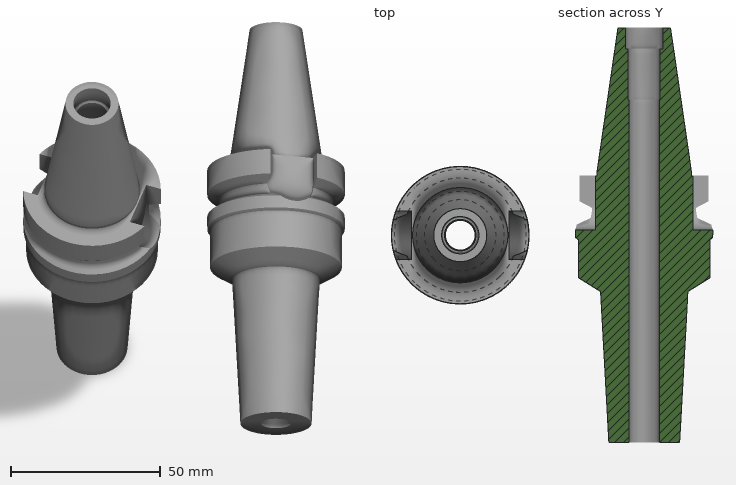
import cadquery as cq

length = 138.4
flange_radius = 23.0

taper_length = 48.5
gauge_radius = 15.9
taper_ratio = 7 / 24
taper_tip_radius = gauge_radius - taper_length * taper_ratio / 2
gauge_z = length - taper_length

flange_gap = 1.0
upper_rim_height = 8.6
groove_radius = 19.1
groove_floor_height = 3.3
groove_flank_height = 2.2
lower_rim_height = 4.3
rim_relief_height = 0.7
flange_top_z = gauge_z - flange_gap
upper_rim_bottom_z = flange_top_z - upper_rim_height
groove_top_z = upper_rim_bottom_z - groove_flank_height
groove_bottom_z = groove_top_z - groove_floor_height
lower_rim_top_z = groove_bottom_z - groove_flank_height
lower_rim_bottom_z = lower_rim_top_z - lower_rim_height
body_top_z = lower_rim_bottom_z - rim_relief_height

body_radius = 22.0
body_bottom_z = 55.0
nose_top_z = 50.4
nose_top_radius = 14.7
nose_tip_radius = 11.9

slot_width = 16.2
slot_depth_along_axis = 18.0
slot_floor_offset = 16.3

thread_bore_radius = 5.3
thread_bore_depth = 24.0
bore_radius = 5.0
counterbore_radius = 6.2
counterbore_depth = 6.9


def holder_blank():
    """Revolve the outer half-profile about the Z axis."""
    profile = [
        (0, 0),
        (nose_tip_radius, 0),
        (nose_top_radius, nose_top_z),
        (body_radius, body_bottom_z),
        (body_radius, body_top_z),
        (flange_radius, lower_rim_bottom_z),
        (flange_radius, lower_rim_top_z),
        (groove_radius, groove_bottom_z),
        (groove_radius, groove_top_z),
        (flange_radius, upper_rim_bottom_z),
        (flange_radius, flange_top_z),
        (gauge_radius, flange_top_z),
        (gauge_radius, gauge_z),
        (taper_tip_radius, length),
        (0, length),
    ]
    return cq.Workplane("XZ").polyline(profile).close().revolve(360, (0, 0), (0, 1))


def drive_slot(side):
    """Round-bottomed slot cutter on the +X (side = 1) or -X (side = -1) flank."""
    slot_radius = slot_width / 2
    slot_bottom_z = flange_top_z - slot_depth_along_axis
    arc_start_z = slot_bottom_z + slot_radius
    return (
        cq.Workplane("YZ", origin=(side * slot_floor_offset, 0, 0))
        .moveTo(-slot_radius, flange_top_z)
        .lineTo(-slot_radius, arc_start_z)
        .threePointArc((0, slot_bottom_z), (slot_radius, arc_start_z))
        .lineTo(slot_radius, flange_top_z)
        .close()
        .extrude(side * flange_radius)
    )


def bore_from_top(radius, depth):
    """Round bore cutter reaching down from the taper tip."""
    return cq.Workplane("XY", origin=(0, 0, length)).circle(radius).extrude(-depth)


def bores():
    """Through bore, widening to a thread bore and a counterbore at the taper tip."""
    through_bore = bore_from_top(bore_radius, length)
    thread_bore = bore_from_top(thread_bore_radius, thread_bore_depth)
    counterbore = bore_from_top(counterbore_radius, counterbore_depth)
    return through_bore.union(thread_bore).union(counterbore)


result = holder_blank().cut(bores())
for side in (-1, 1):
    result = result.cut(drive_slot(side))